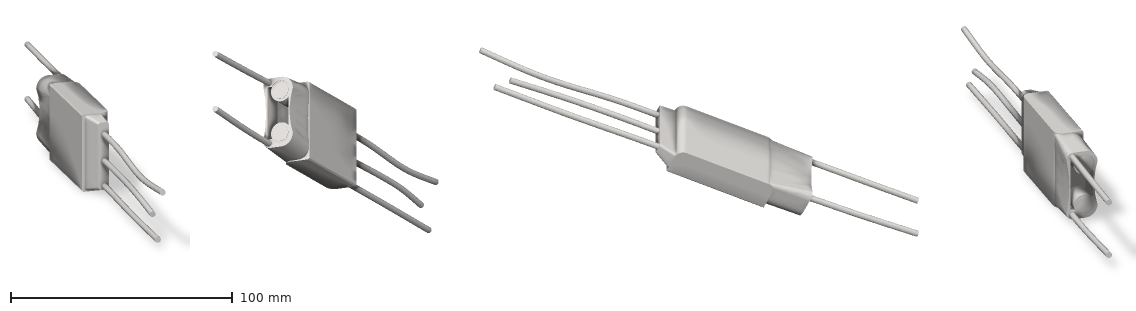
import cadquery as cq

case_left_x = -36.5
case_right_x = 11.5
case_front_y = -6.9
case_back_y = 6.2
case_half_height = 18.3
end_round = 3.9
front_bevel = 0.6

mouth_x = -54.5
mouth_half_depth = 7.43
mouth_half_height = 16.4
front_waist_y = -5.8
back_waist_y = 6.0
sleeve_root_x = -32.7
sleeve_wall = 0.6
mouth_corners = (5.8, 3.2)
root_corners = (5.4, 1.0)
root_half_height = 18.0
root_front = (-6.7, -6.5)
root_back = (6.0, 5.8)

capacitor_diameter = 10.0
capacitor_face_diameter = 7.5
capacitor_face_height = 0.2
capacitor_y = -1.3
capacitor_z = 10.0

board_left_x = -44.1
board_right_x = 6.5
board_front_y = 0.9
board_back_y = 5.4
board_half_height = 15.7
cavity_half_height = 12.3

boot_end_x = 19.4
boot_round = 1.3
boot_root = {"front": -5.4, "back": 3.0, "bottom": -17.7, "top": 17.7}
boot_end = {"front": -1.7, "back": 3.5, "bottom": -15.3, "top": 16.4}

wire_diameter = 2.8
left_wire_paths = [
    [(board_left_x, 4.3, 14.2), (mouth_x, 4.5, 14.2), (-79.7, 5.0, 14.0), (-107.7, 5.4, 14.0)],
    [(board_left_x, 4.3, -14.2), (mouth_x, 4.5, -14.2), (-79.7, 5.0, -13.5), (-107.7, 5.4, -11.8)],
]
right_wire_paths = [
    [(case_right_x, 1.3, 10.5), (boot_end_x, 1.3, 10.5), (44.8, 1.0, 10.0), (62.2, 0.6, 8.5),
     (76.0, 0.5, 7.8), (89.5, 0.5, 8.5), (107.5, 0.6, 10.1)],
    [(case_right_x, 1.3, -2.0), (boot_end_x, 1.3, -2.0), (61.0, 0.6, -2.0),
     (73.5, 0.5, -2.5), (92.5, 0.6, -4.7)],
    [(case_right_x, 1.3, -13.8), (boot_end_x, 1.3, -13.8), (60.3, 0.6, -14.2), (100.3, 0.6, -14.5)],
]


def box_between(x_range, y_range, z_range):
    """Box given by its limits along each axis."""
    ranges = (x_range, y_range, z_range)
    sizes = [high - low for low, high in ranges]
    corner = cq.Vector(*[low for low, high in ranges])
    return cq.Workplane(cq.Solid.makeBox(*sizes, corner))


def make_wire(points):
    """Round wire swept along a smooth curve that leaves the housing along X."""
    direction = 1 if points[-1][0] > points[0][0] else -1
    start_tangent = cq.Vector(direction, 0, 0)
    end_tangent = cq.Vector(*points[-1]) - cq.Vector(*points[-2])
    path = cq.Workplane("XY").spline(points, tangents=[start_tangent, end_tangent.normalized()])
    start_plane = cq.Plane(origin=points[0], xDir=(0, 1, 0), normal=(direction, 0, 0))
    return cq.Workplane(start_plane).circle(wire_diameter / 2).sweep(path)


def capacitor_cylinder(z, diameter, left_x, right_x):
    """Cylinder along X on a capacitor's axis."""
    centre = cq.Vector(left_x, capacitor_y, z)
    return cq.Workplane(cq.Solid.makeCylinder(diameter / 2, right_x - left_x, centre, cq.Vector(1, 0, 0)))


def make_capacitor(z):
    """Capacitor with a slightly raised face at the sleeve mouth."""
    shoulder_x = mouth_x + capacitor_face_height
    can = capacitor_cylinder(z, capacitor_diameter, shoulder_x, board_left_x)
    face = capacitor_cylinder(z, capacitor_face_diameter, mouth_x, shoulder_x)
    return can.union(face).solids()


def make_board():
    """Flat board reaching from the cavity into the case."""
    return box_between(
        (board_left_x, board_right_x),
        (board_front_y, board_back_y),
        (-board_half_height, board_half_height),
    )


def make_case():
    """Slab with rounded back edges at the ends and a bevelled front face."""
    slab = box_between(
        (case_left_x, case_right_x),
        (case_front_y, case_back_y),
        (-case_half_height, case_half_height),
    )
    slab = slab.faces(">Y").edges("|Z").fillet(end_round)
    return slab.faces("<Y").edges("|X").chamfer(front_bevel)


def make_sleeve_outline(x, half_height, front, back, corners):
    """Closed outline across the sleeve; front and back each give (edge Y, middle Y)."""
    front_y, front_middle_y = front
    back_y, back_middle_y = back
    front_radius, back_radius = corners
    diagonal = 1 - 0.5 ** 0.5
    front_z = half_height - front_radius
    back_z = half_height - back_radius
    return (
        cq.Workplane("YZ", origin=(x, 0, 0))
        .moveTo(front_y, -front_z)
        .threePointArc((front_middle_y, 0), (front_y, front_z))
        .threePointArc(
            (front_y + diagonal * front_radius, half_height - diagonal * front_radius),
            (front_y + front_radius, half_height),
        )
        .lineTo(back_y - back_radius, half_height)
        .threePointArc(
            (back_y - diagonal * back_radius, half_height - diagonal * back_radius),
            (back_y, back_z),
        )
        .threePointArc((back_middle_y, 0), (back_y, -back_z))
        .threePointArc(
            (back_y - diagonal * back_radius, diagonal * back_radius - half_height),
            (back_y - back_radius, -half_height),
        )
        .lineTo(front_y + front_radius, -half_height)
        .threePointArc(
            (front_y + diagonal * front_radius, diagonal * front_radius - half_height),
            (front_y, -front_z),
        )
        .wire()
        .val()
    )


def make_sleeve():
    """Wrap that changes from the waisted mouth to the case's rectangular section."""
    mouth = make_sleeve_outline(
        mouth_x,
        mouth_half_height,
        (-mouth_half_depth, front_waist_y),
        (mouth_half_depth, back_waist_y),
        mouth_corners,
    )
    root = make_sleeve_outline(sleeve_root_x, root_half_height, root_front, root_back, root_corners)
    return cq.Workplane(cq.Solid.makeLoft([mouth, root], True))


def make_boot():
    """Tapered end from the case to the three wires."""
    profiles = []
    for x, limits in ((case_right_x, boot_root), (boot_end_x, boot_end)):
        depth = limits["back"] - limits["front"]
        height = limits["top"] - limits["bottom"]
        centre_y = (limits["back"] + limits["front"]) / 2
        centre_z = (limits["top"] + limits["bottom"]) / 2
        profile = cq.Sketch().rect(depth, height).vertices().fillet(boot_round)
        plane = cq.Plane.YZ(origin=(x, centre_y, centre_z))
        profiles.append(profile.moved(plane.location))
    return cq.Workplane("XY").placeSketch(*profiles).loft(ruled=True)


def make_cavity():
    """Open space in the sleeve between the capacitors and in front of the board."""
    depth_range = (mouth_x, board_left_x)
    between_capacitors = box_between(
        depth_range,
        (front_waist_y + sleeve_wall, board_front_y),
        (-capacitor_z, capacitor_z),
    )
    before_board = box_between(
        depth_range,
        (board_front_y, board_back_y),
        (-cavity_half_height, cavity_half_height),
    )
    return between_capacitors.union(before_board)


def make_housing(wires):
    """Case, sleeve and boot in one piece, with room for everything it holds."""
    housing = make_case().union(make_sleeve()).union(make_boot())
    housing = housing.cut(make_cavity()).cut(make_board())
    for z in (-capacitor_z, capacitor_z):
        housing = housing.cut(capacitor_cylinder(z, capacitor_diameter, mouth_x, board_left_x))
    for wire in wires:
        housing = housing.cut(wire)
    return housing.solids()


wires = [make_wire(path) for path in left_wire_paths + right_wire_paths]
capacitors = [make_capacitor(z) for z in (-capacitor_z, capacitor_z)]
board = make_board()
housing = make_housing(wires)

result = cq.Compound.makeCompound([
    housing.val(),
    board.val(),
    *[capacitor.val() for capacitor in capacitors],
    *[wire.val() for wire in wires],
])